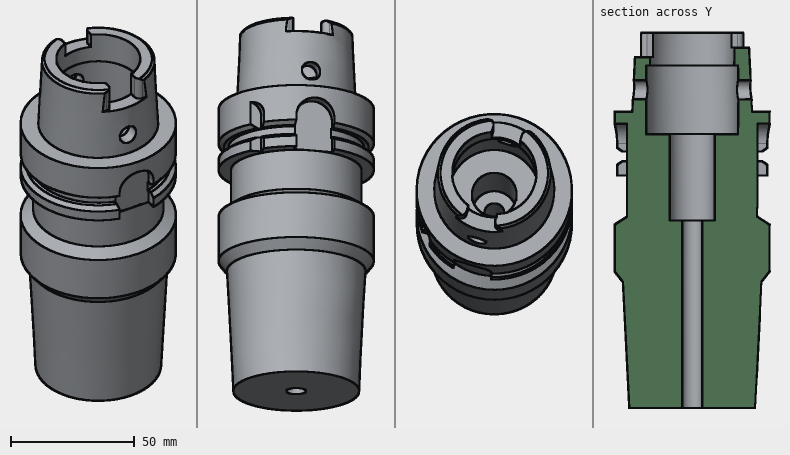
import cadquery as cq

total_height = 152
flange_top = 120.1
flange_bottom = 94.1
groove_top = 103.8
groove_bottom = 100.0
groove_chamfer_height = 1.5
neck_bottom = 77.5
collar_top = 74.3
collar_bottom = 55.3
nose_top = 51.0

flange_radius = 31.5
groove_radius = 27.5
groove_lip_radius = 29.3
neck_radius = 26.5
nose_top_radius = 28.1
nose_bottom_radius = 25.5
shank_base_radius = 24.3
shank_tip_radius = 22.8
shank_tip_chamfer = 1.0

mouth_radius = 17.0
mouth_depth = 13.4
undercut_radius = 18.5
socket_floor = 111
step_bore_radius = 9.05
step_bore_floor = 76
through_radius = 4.03

drive_slot_width = 12.2
drive_slot_rounding = 2.5
finger_flat = 20.8
left_slot_floor = 145.9
right_slot_floor = 142.1

cross_hole_radius = 3.8
cross_hole_height = 128.9

cutter_top = 115.0
keyway_radius = 7.98
keyway_floor = neck_radius
notch_radius = 6.0
notch_floor = 19.9
notch_center_y = notch_floor + notch_radius


def turned_body():
    """Revolve the outer profile about Z."""
    upper_chamfer = groove_top + groove_chamfer_height
    lower_chamfer = groove_bottom - groove_chamfer_height
    points = [
        (0, 0),
        (nose_bottom_radius, 0),
        (nose_top_radius, nose_top),
        (flange_radius, collar_bottom),
        (flange_radius, collar_top),
        (neck_radius, neck_bottom),
        (neck_radius, flange_bottom),
        (flange_radius, flange_bottom),
        (flange_radius, lower_chamfer),
        (groove_lip_radius, groove_bottom),
        (groove_radius, groove_bottom),
        (groove_radius, groove_top),
        (groove_lip_radius, groove_top),
        (flange_radius, upper_chamfer),
        (flange_radius, flange_top),
        (shank_base_radius, flange_top),
        (shank_tip_radius, total_height - shank_tip_chamfer),
        (shank_tip_radius - shank_tip_chamfer, total_height),
        (0, total_height),
    ]
    return cq.Workplane("XZ").polyline(points).close().revolve(360, (0, 0), (0, 1))


def axial_bores():
    """Undercut clamping socket, stepped bore and through hole."""
    mouth_bottom = total_height - mouth_depth
    points = [
        (0, 0),
        (through_radius, 0),
        (through_radius, step_bore_floor),
        (step_bore_radius, step_bore_floor),
        (step_bore_radius, socket_floor),
        (undercut_radius, socket_floor),
        (undercut_radius, mouth_bottom),
        (mouth_radius, mouth_bottom),
        (mouth_radius, total_height),
        (0, total_height),
    ]
    return cq.Workplane("XZ").polyline(points).close().revolve(360, (0, 0), (0, 1))


def drive_slot(side, floor):
    """Slot through one side of the rim whose walls flare out in arcs.

    Each arc runs from the slot wall to a small flat across the finger tip.
    """
    half_width = drive_slot_width / 2
    flare_start = side * (finger_flat - drive_slot_rounding)
    flare_end = side * finger_flat
    flare_width = half_width + drive_slot_rounding
    outer_end = side * flange_radius
    outer_width = flange_radius / 2
    outline = (
        cq.Workplane("XY", origin=(0, 0, floor))
        .moveTo(0, -half_width)
        .lineTo(flare_start, -half_width)
        .radiusArc((flare_end, -flare_width), side * drive_slot_rounding)
        .lineTo(flare_end, -outer_width)
        .lineTo(outer_end, -outer_width)
        .lineTo(outer_end, outer_width)
        .lineTo(flare_end, outer_width)
        .lineTo(flare_end, flare_width)
        .radiusArc((flare_start, half_width), side * drive_slot_rounding)
        .lineTo(0, half_width)
        .close()
    )
    return outline.extrude(total_height - floor)


def round_top_slot(side, radius, floor, center_y):
    """Round-topped slot milled along X to a flat floor, open at the flange bottom."""
    center_height = cutter_top - radius
    outline = (
        cq.Workplane("YZ", origin=(side * floor, 0, 0))
        .moveTo(center_y - radius, flange_bottom)
        .lineTo(center_y - radius, center_height)
        .threePointArc((center_y, cutter_top), (center_y + radius, center_height))
        .lineTo(center_y + radius, flange_bottom)
        .close()
    )
    return outline.extrude(side * flange_radius)


def cross_hole():
    """Hole along X through both shank walls."""
    return (
        cq.Workplane("YZ")
        .center(0, cross_hole_height)
        .circle(cross_hole_radius)
        .extrude(flange_radius, both=True)
    )


result = turned_body().cut(axial_bores()).cut(cross_hole())

for side, floor in ((-1, left_slot_floor), (1, right_slot_floor)):
    result = result.cut(drive_slot(side, floor))
    result = result.cut(round_top_slot(side, keyway_radius, keyway_floor, 0))

result = result.cut(round_top_slot(-1, notch_radius, notch_floor, notch_center_y))